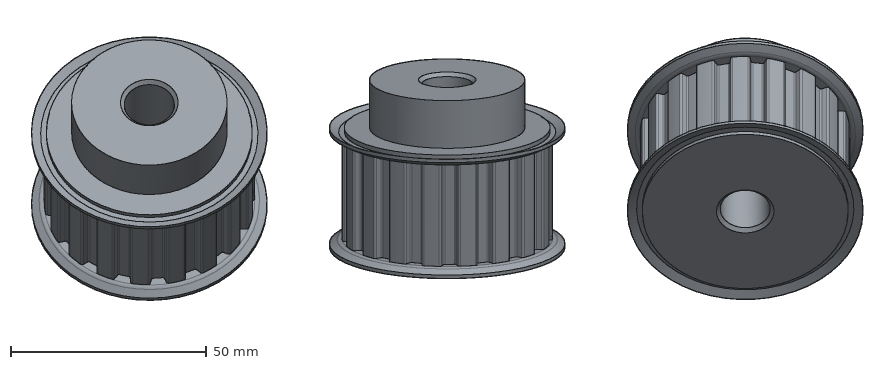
import cadquery as cq
import math


flange_diameter = 60.3
rim_height = 31.8
hub_height = 12.65
hub_diameter = 39.8
bore_diameter = 12.8
bore_chamfer = 0.95

flange_depth = 2.35
flange_edge = 0.95
disc_diameter = 52.7
dish_diameter = 55.6
dish_depth = 1.15
cone_angle = math.radians(29)
bend_radius = 2.4

tooth_count = 18
tip_diameter = 53.8
groove_depth = 2.05
floor_half_width = 1.2
root_radius = 0.5
crest_radius = 0.6
flank_angle = math.radians(20)

flange_radius = flange_diameter / 2
tip_radius = tip_diameter / 2
total_height = rim_height + hub_height
tooth_length = rim_height - 2 * flange_depth


def flange():
    """Lower flange with its disc: dished outside, coned on the belt side with a rounded bend."""
    cone_reach = (flange_depth - flange_edge) / math.tan(cone_angle)
    corner_radius = flange_radius - cone_reach
    half_angle = cone_angle / 2
    tangent = bend_radius * math.tan(half_angle)
    bend_start_radius = corner_radius - tangent
    bend_mid = (
        bend_start_radius + bend_radius * math.sin(half_angle),
        flange_depth - bend_radius * (1 - math.cos(half_angle)),
    )
    bend_end = (
        bend_start_radius + bend_radius * math.sin(cone_angle),
        flange_depth - bend_radius * (1 - math.cos(cone_angle)),
    )
    profile = (
        cq.Workplane("XZ")
        .moveTo(0, 0)
        .lineTo(disc_diameter / 2, 0)
        .lineTo(disc_diameter / 2, dish_depth)
        .lineTo(dish_diameter / 2, dish_depth)
        .lineTo(flange_radius, 0)
        .lineTo(flange_radius, flange_edge)
        .lineTo(*bend_end)
        .threePointArc(bend_mid, (bend_start_radius, flange_depth))
        .lineTo(0, flange_depth)
        .close()
    )
    return profile.revolve(360, (0, 0, 0), (0, 1, 0))


def groove():
    """One tooth gap, centred on -Y, with rounded root and crest corners."""
    floor = tip_radius - groove_depth

    def root_point(turn):
        return (
            floor_half_width + root_radius * math.sin(turn),
            floor + root_radius * (1 - math.cos(turn)),
        )

    flank_turn = math.pi / 2 - flank_angle
    root_end = root_point(flank_turn)

    centre_circle = tip_radius - crest_radius
    nx = math.cos(flank_angle)
    ny = -math.sin(flank_angle)
    offset = root_end[0] * nx + root_end[1] * ny + crest_radius
    along = math.sqrt(centre_circle**2 - offset**2)
    centre = (offset * nx - along * ny, offset * ny + along * nx)
    crest_start = (centre[0] - crest_radius * nx, centre[1] - crest_radius * ny)
    tip_turn = math.atan2(centre[1], centre[0])
    flank_normal = math.pi - flank_angle
    mid_turn = (tip_turn + flank_normal) / 2
    crest_mid = (
        centre[0] + crest_radius * math.cos(mid_turn),
        centre[1] + crest_radius * math.sin(mid_turn),
    )
    crest_end = (tip_radius * math.cos(tip_turn), tip_radius * math.sin(tip_turn))
    right_side = [root_point(0), root_point(flank_turn / 2), root_end, crest_start, crest_mid, crest_end]
    right = [(x, -y) for x, y in right_side]
    left = [(-x, -y) for x, y in right_side]
    return (
        cq.Workplane("XY")
        .workplane(offset=flange_depth)
        .moveTo(*left[0])
        .lineTo(*right[0])
        .threePointArc(right[1], right[2])
        .lineTo(*right[3])
        .threePointArc(right[4], right[5])
        .threePointArc((0, -tip_radius), left[5])
        .threePointArc(left[4], left[3])
        .lineTo(*left[2])
        .threePointArc(left[1], left[0])
        .close()
        .extrude(tooth_length)
    )


def toothed_rim():
    """Cylinder between the flanges, cut by the evenly spaced tooth gaps."""
    rim = (
        cq.Workplane("XY")
        .workplane(offset=flange_depth)
        .circle(tip_radius)
        .extrude(tooth_length)
    )
    gap = groove()
    for i in range(tooth_count):
        rim = rim.cut(gap.rotate((0, 0, 0), (0, 0, 1), i * 360 / tooth_count))
    return rim


def bore():
    """Through hole, chamfered at both ends."""
    radius = bore_diameter / 2
    mouth = radius + bore_chamfer
    return (
        cq.Workplane("XZ")
        .polyline([
            (0, 0),
            (mouth, 0),
            (radius, bore_chamfer),
            (radius, total_height - bore_chamfer),
            (mouth, total_height),
            (0, total_height),
        ])
        .close()
        .revolve(360, (0, 0, 0), (0, 1, 0))
    )


lower_flange = flange()
upper_flange = lower_flange.mirror("XY").translate((0, 0, rim_height))
hub = (
    cq.Workplane("XY")
    .workplane(offset=rim_height)
    .circle(hub_diameter / 2)
    .extrude(hub_height)
)

result = toothed_rim().union(lower_flange).union(upper_flange).union(hub).cut(bore())